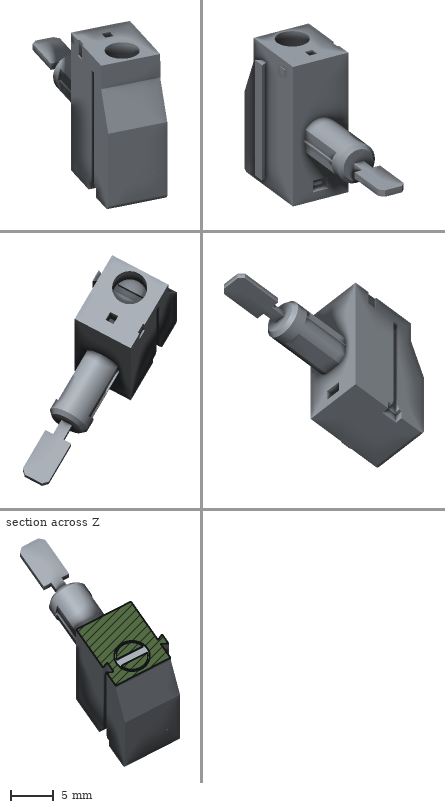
import cadquery as cq

house_left = 16.65
house_right = 27.78
house_depth = 7.5
house_height = 18.1
shoulder_x = 25.67
shoulder_z = 15.0
slope_end_z = 10.15
corner_radius = 0.6
mid_y = house_depth / 2

axis_z = 8.07
barrel_start = 8.0
barrel_radius = 2.5
barrel_chamfer = 0.5
head_end = 9.95
bottom_flat = 0.25
flat_depth = 0.47
rib_height = 0.17
rib_depth = 0.25
undercut = 0.4

blade_length = 5.99
blade_center_z = 8.02
blade_width = 3.45
blade_thickness = 0.84
blade_chamfer = 0.58
neck_width = 1.4

screw_x = 23.14
bore_diameter = 4.1
screw_diameter = 3.8
screw_recess = 2.4
screw_gap_depth = 0.55
slot_width = 0.95
slot_depth = 0.55

rail_x = 23.14
rail_base = 0.72
rail_tip = 1.6
rail_height = 0.8
rail_bottom = 1.17
rail_top = 16.12
groove_x = 23.15
groove_mouth = 0.75
groove_floor = 1.4
groove_depth = 0.78
flare_top = 1.92
flare_width = 1.15
notch_center = 23.05
notch_width = 2.2
notch_height = 1.2
notch_depth = 0.97

key_left = 18.75
key_width = 1.25
key_depth = 0.22
latch_left = 18.37
latch_width = 1.03
latch_height = 0.1
latch_bottom = 16.18
latch_top = 17.0

test_hole_x = 18.85
test_hole_length = 1.1
test_hole_width = 1.05
test_hole_depth = 2.23

window_width = 2.03
window_bottom = 1.17
window_top = 2.67
window_depth = 1.1
stop_width = 1.53
stop_height = 0.6
stop_depth = 0.28
stop_chamfer = 0.22

pip_y = 5.74
pip_z = 3.81
pip_diameter = 0.17
total_length = 27.85


def box(x0, x1, y0, y1, z0, z1):
    """Axis-aligned block between two opposite corners."""
    return cq.Workplane("XY").box(x1 - x0, y1 - y0, z1 - z0, centered=False).translate((x0, y0, z0))


def prism_z(points, z0, z1):
    """Outline in XY extruded between two heights."""
    return cq.Workplane("XY").workplane(offset=z0).polyline(points).close().extrude(z1 - z0)


def trapezoid(center_x, y0, width0, y1, width1):
    """Symmetric outline in XY with one width at y0 and another at y1."""
    return [
        (center_x - width0 / 2, y0),
        (center_x + width0 / 2, y0),
        (center_x + width1 / 2, y1),
        (center_x - width1 / 2, y1),
    ]


def make_housing():
    outline = [
        (house_left, 0),
        (house_right, 0),
        (house_right, slope_end_z),
        (shoulder_x, shoulder_z),
        (shoulder_x, house_height),
        (house_left, house_height),
    ]
    housing = cq.Workplane("XZ").polyline(outline).close().extrude(-house_depth)
    return housing.edges("|Y and >X and <Z").fillet(corner_radius)


def make_blade():
    wide = box(0, blade_length, -blade_width / 2, blade_width / 2, 0, blade_thickness)
    wide = wide.edges("|Z and <X").chamfer(blade_chamfer)
    neck = box(0, barrel_start + barrel_chamfer, -neck_width / 2, neck_width / 2, 0, blade_thickness)
    return wide.union(neck).translate((0, mid_y, blade_center_z - blade_thickness / 2))


def side_relief():
    """Relief for the barrel's front flat, built about an axis on Y = 0, Z = 0."""
    outer = -barrel_radius
    floor = outer + flat_depth
    end = house_left
    upper_outline = [(head_end, outer), (head_end - undercut, floor), (end, floor), (end, outer)]
    upper = prism_z(upper_outline, rib_height / 2, barrel_radius)
    lower = box(head_end, end, outer, floor, -barrel_radius, rib_height / 2)
    rib = box(head_end, end, outer + rib_depth, floor, -rib_height / 2, rib_height / 2)
    return upper.union(lower).cut(rib)


def make_barrel():
    barrel = cq.Workplane("YZ").circle(barrel_radius).extrude(house_left - barrel_start)
    barrel = barrel.faces("<X").chamfer(barrel_chamfer)
    barrel = barrel.translate((barrel_start, 0, 0))
    relief = side_relief()
    barrel = barrel.cut(relief).cut(relief.mirror("XZ"))
    below = box(
        head_end, house_left, -barrel_radius, barrel_radius, -barrel_radius, bottom_flat - barrel_radius
    )
    return barrel.cut(below).translate((0, mid_y, axis_z))


def screw_bore():
    """Cutter for the bore, the gap around the screw head and its slot."""
    recess_z = house_height - screw_recess
    bore_depth = screw_recess + screw_gap_depth
    top = cq.Workplane("XY", origin=(screw_x, mid_y, house_height))
    bore = top.circle(bore_diameter / 2).extrude(-bore_depth)
    screw = (
        cq.Workplane("XY", origin=(screw_x, mid_y, recess_z))
        .circle(screw_diameter / 2)
        .extrude(-screw_gap_depth)
    )
    slot = cq.Workplane("XY", origin=(screw_x, mid_y, recess_z)).rect(slot_width, bore_diameter)
    return bore.cut(screw.cut(slot.extrude(-slot_depth)))


def front_groove():
    groove = prism_z(trapezoid(groove_x, 0, groove_mouth, groove_depth, groove_floor), notch_height, rail_top)
    flare = (
        cq.Workplane("XZ")
        .moveTo(groove_x - flare_width / 2, notch_height)
        .lineTo(groove_x + flare_width / 2, notch_height)
        .lineTo(groove_x + groove_mouth / 2, flare_top)
        .lineTo(groove_x - groove_mouth / 2, flare_top)
        .close()
        .extrude(-groove_depth)
    )
    notch_left = notch_center - notch_width / 2
    notch = box(notch_left, notch_left + notch_width, 0, notch_depth, 0, notch_height)
    return groove.union(flare).union(notch)


def left_window():
    back = house_left + window_depth
    half = window_width / 2
    window = box(house_left, back, mid_y - half, mid_y + half, window_bottom, window_top)
    stop = box(
        back - stop_depth,
        back,
        mid_y - stop_width / 2,
        mid_y + stop_width / 2,
        window_bottom,
        window_bottom + stop_height,
    )
    return window.cut(stop.edges("<X and >Z").chamfer(stop_chamfer))


housing = make_housing()
key_slot = box(key_left, key_left + key_width, 0, key_depth, rail_top, house_height)
test_hole = (
    cq.Workplane("XY", origin=(test_hole_x, mid_y, house_height))
    .rect(test_hole_length, test_hole_width)
    .extrude(-test_hole_depth)
)
for pocket in (screw_bore(), front_groove(), left_window(), key_slot, test_hole):
    housing = housing.cut(pocket)

rail = prism_z(
    trapezoid(rail_x, house_depth, rail_base, house_depth + rail_height, rail_tip), rail_bottom, rail_top
)
latch = box(
    latch_left, latch_left + latch_width, house_depth, house_depth + latch_height, latch_bottom, latch_top
)
pip = (
    cq.Workplane("YZ", origin=(house_right, pip_y, pip_z))
    .circle(pip_diameter / 2)
    .extrude(total_length - house_right)
)

result = housing
for feature in (make_barrel(), make_blade(), rail, latch, pip):
    result = result.union(feature)